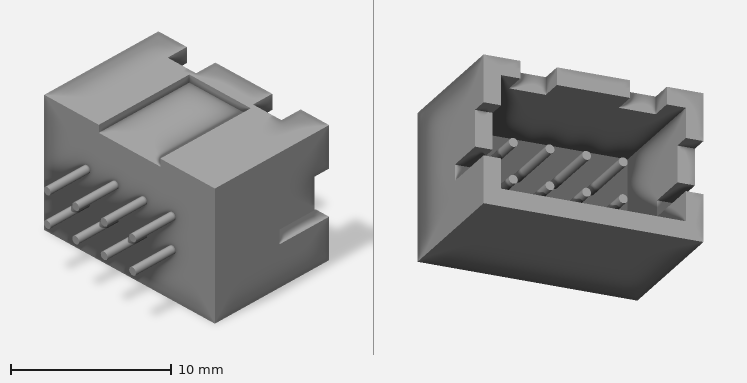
import cadquery as cq


body_width = 15.0
body_depth = 10.1
body_height = 10.1
wall = 1.2

pin_columns = 4
pin_rows = 2
pin_pitch = 2.5
pin_diameter = 0.6
tail_length = 3.5
pin_reach = 6.25

recess_width = 5.4
recess_length = 8.0
recess_depth = 0.6

notch_width = pin_pitch
notch_depth = 1.7
notch_offset = 1.5 * notch_width

opening_height = 3.6
opening_depth = 1.3
slot_height = 1.1
slot_depth = 4.4

half_height = body_height / 2
opening_bottom = -opening_height / 2


def box(width, depth, height, x_center, y_start, z_start):
    """Block centred on x_center in X, growing toward +Y and +Z from its start values."""
    block = cq.Workplane("XY").box(width, depth, height, centered=(True, False, False))
    return block.translate((x_center, y_start, z_start))


def rim_cut(width, depth, height, x_center, z_start):
    """Block that cuts the shroud down from its open rim."""
    return box(width, depth, height, x_center, body_depth - depth, z_start)


def make_shroud():
    """Open box with walls and floor of equal thickness."""
    shell = box(body_width, body_depth, body_height, 0, 0, -half_height)
    cavity_width = body_width - 2 * wall
    cavity_height = body_height - 2 * wall
    cavity = rim_cut(cavity_width, body_depth - wall, cavity_height, 0, -cavity_height / 2)
    return shell.cut(cavity)


def cut_top_recess(shroud):
    """Shallow rectangular recess in the top face."""
    return shroud.cut(box(recess_width, recess_length, recess_depth, 0, 0, half_height - recess_depth))


def cut_top_notches(shroud):
    """Two notches through the top wall, mirrored about the middle."""
    for side in (-1, 1):
        notch = rim_cut(notch_width, notch_depth, wall, side * notch_offset, half_height - wall)
        shroud = shroud.cut(notch)
    return shroud


def cut_end_openings(shroud):
    """Wide shallow opening with a narrow deep slot along its lower edge."""
    opening = rim_cut(body_width, opening_depth, opening_height, 0, opening_bottom)
    slot = rim_cut(body_width, slot_depth, slot_height, 0, opening_bottom)
    return shroud.cut(opening).cut(slot)


def make_pins():
    """Grid of round pins running from the tail ends to the tips in the cavity."""
    return (
        cq.Workplane("XZ", origin=(0, -tail_length, 0))
        .rarray(pin_pitch, pin_pitch, pin_columns, pin_rows)
        .circle(pin_diameter / 2)
        .extrude(-(tail_length + pin_reach))
    )


shroud = make_shroud()
shroud = cut_top_recess(shroud)
shroud = cut_top_notches(shroud)
shroud = cut_end_openings(shroud)
result = shroud.union(make_pins())